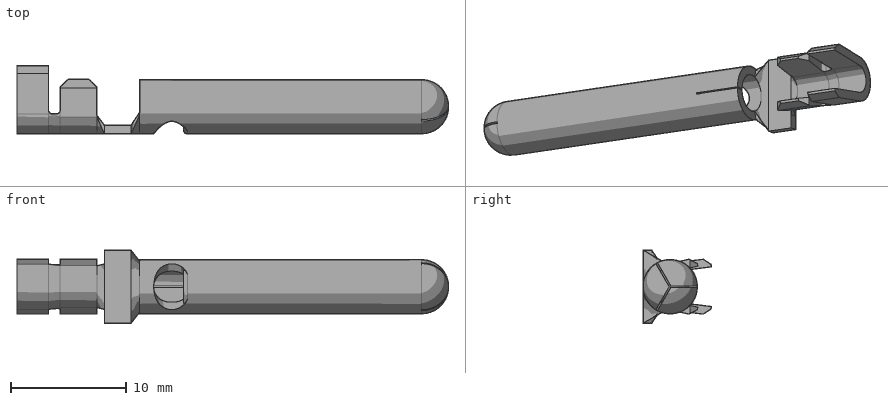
import cadquery as cq
import math


SHEET = 0.76
TOTAL_LENGTH = 37.47
TOTAL_DEPTH = 5.94
PIN_R = 2.36
BORE_R = PIN_R - SHEET
BACK_Y = -PIN_R

WIRE_END = 2.76
CORE_BARREL_START = 3.75
CORE_BARREL_END = 6.95
PLATE_START = 7.60
PLATE_END = 9.90
PIN_START = 10.65
SOLID_START = 14.45
DOME_START = TOTAL_LENGTH - PIN_R

WIRE_BARREL = dict(radius=1.975, lean=7.0, tip_y=TOTAL_DEPTH - PIN_R)
CORE_BARREL = dict(radius=1.87, lean=12.6, tip_y=2.40)
TIP_BEVEL_LENGTH = 0.62
TIP_LAND = 0.22
CORNER_CHAMFER_X = 0.72
CORNER_CHAMFER_Y = 0.68

NOTCH_FLOOR_Y = -0.60
NOTCH_CORNER_R = 0.30
NECK_STUB = 0.90

PLATE_WIDTH = 6.35
STRIP_WIDTH = 3.96
PIN_ROOT_ANGLE = 72.0

HOLE_X = 13.45
HOLE_R = 1.58
HOLE_HALF_ANGLE = 57.5
HOLE_CUT_START = BORE_R - SHEET
HOLE_CUT_END = PIN_R + SHEET
HOLE_OUTLINE_POINTS = 60
SHOULDER_FILLET = 0.35
WALL_END = SOLID_START + SHOULDER_FILLET

SEAM_GAP = 0.10
PETAL_COUNT = 3
PETAL_GAP = 0.15


def section_point(center_y, radius, angle):
    """Local (y, z) point of a back arc; the angle is measured from -Y toward +Z."""
    a = math.radians(angle)
    return (center_y - radius * math.cos(a), radius * math.sin(a))


def mirrored(point):
    """The same point on the other side of the symmetry plane Z = 0."""
    return (point[0], -point[1])


def station(x):
    """Cross-section workplane at x, with local axes along Y and Z."""
    return cq.Workplane("YZ", origin=(x, 0, 0))


def back_sector(workplane, outer_r, half_angle):
    """Ring sector of sheet whose back touches BACK_Y."""
    center_y = BACK_Y + outer_r
    inner_r = outer_r - SHEET
    outer_end = section_point(center_y, outer_r, half_angle)
    inner_end = section_point(center_y, inner_r, half_angle)
    return (
        workplane.moveTo(*mirrored(outer_end))
        .threePointArc((BACK_Y, 0), outer_end)
        .lineTo(*inner_end)
        .threePointArc((BACK_Y + SHEET, 0), mirrored(inner_end))
        .close()
    )


def arm_frame(barrel):
    """Tangent points of the arm with the arc, and the direction along the arm."""
    center_y = BACK_Y + barrel["radius"]
    angle = 90 - barrel["lean"]
    outer = section_point(center_y, barrel["radius"], angle)
    inner = section_point(center_y, barrel["radius"] - SHEET, angle)
    lean = math.radians(barrel["lean"])
    return outer, inner, (math.cos(lean), math.sin(lean))


def along(point, direction, distance):
    """The point moved by a distance along a direction."""
    return (point[0] + direction[0] * distance, point[1] + direction[1] * distance)


def u_section(workplane, barrel, outer_length, inner_length, tip):
    """U of sheet; tip is the extra point between the outer and inner end, or None."""
    outer, inner, direction = arm_frame(barrel)
    ends = [along(outer, direction, outer_length)]
    if tip is not None:
        ends.append(tip)
    ends.append(along(inner, direction, inner_length))
    wire = workplane.moveTo(*mirrored(outer)).threePointArc((BACK_Y, 0), outer)
    for point in ends + [inner]:
        wire = wire.lineTo(*point)
    wire = wire.threePointArc((BACK_Y + SHEET, 0), mirrored(inner))
    for point in reversed(ends):
        wire = wire.lineTo(*mirrored(point))
    return wire.close()


def crimp_barrel(barrel, start, end):
    """U-shaped barrel with arm tips beveled on the outside."""
    _, inner, direction = arm_frame(barrel)
    full_length = (barrel["tip_y"] - inner[0]) / direction[0]
    inner_tip = along(inner, direction, full_length)
    normal = (-direction[1], direction[0])
    tip = along(inner_tip, normal, TIP_LAND)
    outer_length = full_length - TIP_BEVEL_LENGTH
    section = u_section(station(start), barrel, outer_length, full_length, tip)
    return section.extrude(end - start)


def core_barrel():
    """Conductor barrel, with the corners of its arm tips cut off."""
    body = crimp_barrel(CORE_BARREL, CORE_BARREL_START, CORE_BARREL_END)
    tip_y = CORE_BARREL["tip_y"]
    for x, inward in ((CORE_BARREL_START, 1), (CORE_BARREL_END, -1)):
        corner = (
            cq.Workplane("XY")
            .polyline([
                (x, tip_y - CORNER_CHAMFER_Y),
                (x + inward * CORNER_CHAMFER_X, tip_y),
                (x, tip_y),
            ])
            .close()
            .extrude(PLATE_WIDTH, both=True)
        )
        body = body.cut(corner)
    return body


def join_wires(wires):
    """Ruled loft through closed wires."""
    return cq.Workplane(obj=cq.Solid.makeLoft(wires, True))


def neck():
    """Blend between the barrels, cut down to a round-cornered notch."""
    wires = [
        u_section(station(x), barrel, NECK_STUB, NECK_STUB, None).wires().val()
        for x, barrel in ((WIRE_END, WIRE_BARREL), (CORE_BARREL_START, CORE_BARREL))
    ]
    length = CORE_BARREL_START - WIRE_END
    height = PIN_R
    notch = (
        cq.Workplane("XY")
        .center(WIRE_END + length / 2, NOTCH_FLOOR_Y + height / 2)
        .rect(length, height)
        .extrude(PLATE_WIDTH, both=True)
        .edges("|Z and <Y")
        .fillet(NOTCH_CORNER_R)
    )
    return join_wires(wires).cut(notch)


def blend(first, second):
    """Solid of ruled faces between two sections with matching edges."""
    start_wire = first.wires().val()
    end_wire = second.wires().val()
    faces = [
        cq.Face.makeRuledSurface(start_edge, end_edge)
        for start_edge, end_edge in zip(start_wire.Edges(), end_wire.Edges())
    ]
    faces += [cq.Face.makeFromWires(start_wire), cq.Face.makeFromWires(end_wire)]
    return cq.Workplane(obj=cq.Solid.makeSolid(cq.Shell.makeShell(faces)).fix())


def strip_rectangle(x, width):
    """Flat sheet section, its edges in the same order as those of back_sector."""
    return (
        station(x)
        .moveTo(BACK_Y, -width / 2)
        .lineTo(BACK_Y, width / 2)
        .lineTo(BACK_Y + SHEET, width / 2)
        .lineTo(BACK_Y + SHEET, -width / 2)
        .close()
    )


def shoulder_plate():
    """Flat plate with the blends to the conductor barrel and to the pin."""
    plate = strip_rectangle(PLATE_START, PLATE_WIDTH).extrude(PLATE_END - PLATE_START)
    barrel_angle = 90 - CORE_BARREL["lean"]
    barrel_end = back_sector(station(CORE_BARREL_END), CORE_BARREL["radius"], barrel_angle)
    to_barrel = blend(barrel_end, strip_rectangle(PLATE_START, STRIP_WIDTH))
    pin_root = back_sector(station(PIN_START), PIN_R, PIN_ROOT_ANGLE)
    to_pin = blend(strip_rectangle(PLATE_END, PLATE_WIDTH), pin_root)
    return plate.union(to_barrel).union(to_pin)


def hole_cutter():
    """Cutter with walls pointing at the pin axis, through the -Y wall only."""
    def outline(depth):
        def point(t):
            angle = math.radians(HOLE_HALF_ANGLE) * math.sin(t)
            return (HOLE_X + HOLE_R * math.cos(t), depth * math.tan(angle))

        plane = cq.Workplane("XZ", origin=(0, -depth, 0))
        curve = plane.parametricCurve(lambda s: point(2 * math.pi * s), N=HOLE_OUTLINE_POINTS)
        return curve.wires().val()

    return join_wires([outline(HOLE_CUT_START), outline(HOLE_CUT_END)])


def pin_wall():
    """Hollow rolled part of the pin, with its seam on +Y and the inspection hole."""
    wall = station(PIN_START).circle(PIN_R).circle(BORE_R).extrude(WALL_END - PIN_START)
    seam = cq.Workplane("XY").box(
        WALL_END - PIN_START, PIN_R, SEAM_GAP, centered=(False, False, True)
    ).translate((PIN_START, 0, 0))
    return wall.cut(seam).cut(hole_cutter())


def solid_pin():
    """Solid part of the pin with a rounded shoulder and a domed tip split into petals."""
    rod = station(SOLID_START).circle(PIN_R).extrude(DOME_START - SOLID_START)
    rod = rod.faces("<X").edges().fillet(SHOULDER_FILLET)
    dome = (
        cq.Workplane("XY")
        .moveTo(DOME_START, 0)
        .lineTo(TOTAL_LENGTH, 0)
        .radiusArc((DOME_START, PIN_R), -PIN_R)
        .close()
        .revolve(360, (0, 0, 0), (1, 0, 0))
    )
    slit = (
        cq.Workplane("XY")
        .center(DOME_START, 0)
        .moveTo(BORE_R, 0)
        .lineTo(PIN_R + SHEET, 0)
        .lineTo(PIN_R + SHEET, PIN_R + SHEET)
        .lineTo(0, PIN_R + SHEET)
        .lineTo(0, BORE_R)
        .radiusArc((BORE_R, 0), BORE_R)
        .close()
        .extrude(PETAL_GAP / 2, both=True)
    )
    for i in range(PETAL_COUNT):
        dome = dome.cut(slit.rotate((0, 0, 0), (1, 0, 0), i * 360 / PETAL_COUNT))
    return rod.union(dome)


result = (
    crimp_barrel(WIRE_BARREL, 0, WIRE_END)
    .union(neck())
    .union(core_barrel())
    .union(shoulder_plate())
    .union(pin_wall())
    .union(solid_pin())
)